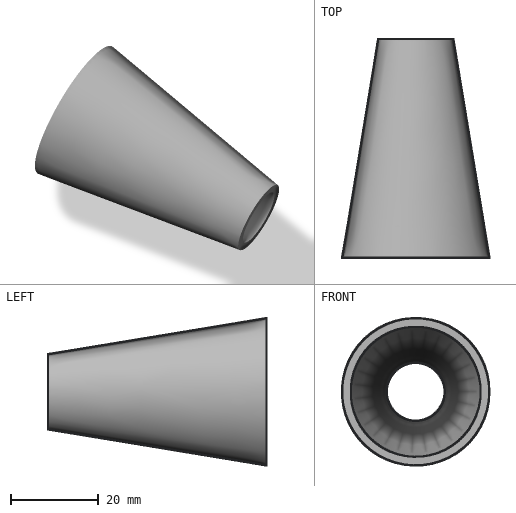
import cadquery as cq

length = 50.0
wide_diameter = 33.7
narrow_diameter = 17.2
wall = 2.0

wide_radius = wide_diameter / 2
narrow_radius = narrow_diameter / 2

result = (
    cq.Workplane("XY")
    .moveTo(wide_radius - wall, 0)
    .lineTo(wide_radius, 0)
    .lineTo(narrow_radius, length)
    .lineTo(narrow_radius - wall, length)
    .close()
    .revolve(360, (0, 0, 0), (0, 1, 0))
)